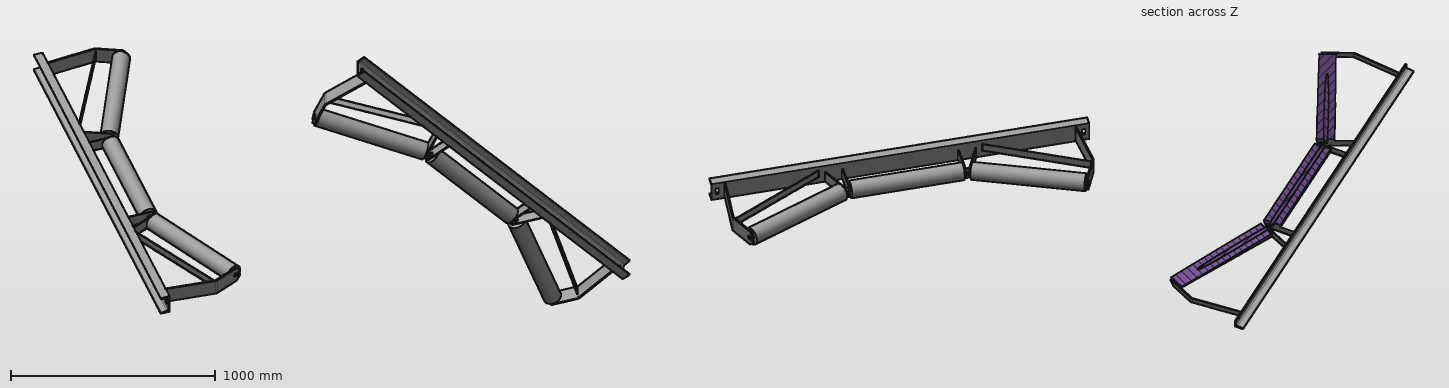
import cadquery as cq
import math

beam_length = 1900.0
beam_height = 103.0
flange_width = 45.0
web_thickness = 8.0
flange_root_thickness = 11.0
flange_tip_thickness = 8.0
root_radius = 8.0
tip_radius = 4.0

mount_slot_x = 922.0
mount_slot_width = 17.0
mount_slot_height = 36.0

roller_diameter = 90.0
roller_length = 566.0
shaft_diameter = 19.0
slot_overcut = 2.0
roller_gap = 5.0

center_roller_y = 122.0
center_roller_z = -19.0

wing_roller_x = 585.0
wing_roller_y = 249.0
wing_roller_z = -10.0
trough_angle = 25.0
wing_tilt = 2.0

outer_plate_thickness = 8.0
outer_bracket_height = 82.0
outer_foot_x = 882.0
outer_bend_drop = 130.0
outer_bend_radius = 23.0
outer_tip_rise = 30.0
outer_tip_chamfer = 23.0
inner_plate_thickness = 5.0
inner_bracket_height = 59.0
inner_bracket_z = -17.0
inner_top_y = 142.0

brace_thickness = 4.0
brace_height = 42.0
brace_center_z = 8.0
brace_foot_x = 410.0
brace_rise = 4.0

plan_cos = math.cos(math.radians(trough_angle))
plan_sin = math.sin(math.radians(trough_angle))


def strip(path, thickness, height):
    """Upright flat bar following a plan path, with mitred bends, centered on Z = 0."""
    normals = []
    for (x0, y0), (x1, y1) in zip(path, path[1:]):
        run = math.hypot(x1 - x0, y1 - y0)
        normals.append((-(y1 - y0) / run, (x1 - x0) / run))
    left_side = []
    right_side = []
    for index, (x, y) in enumerate(path):
        before = normals[max(index - 1, 0)]
        after = normals[min(index, len(normals) - 1)]
        spread = 1 + before[0] * after[0] + before[1] * after[1]
        mitre_x = (before[0] + after[0]) / spread * thickness / 2
        mitre_y = (before[1] + after[1]) / spread * thickness / 2
        left_side.append((x + mitre_x, y + mitre_y))
        right_side.append((x - mitre_x, y - mitre_y))
    outline = left_side + right_side[::-1]
    return cq.Workplane("XY").polyline(outline).close().extrude(height / 2, both=True)


def wing_point(along, across):
    """Plan point at a distance along the +X wing axis and square to it, from the roller midpoint."""
    x = wing_roller_x + along * plan_cos - across * plan_sin
    y = wing_roller_y + along * plan_sin + across * plan_cos
    return x, y


def place_on_wing(body):
    """Move a body built along X about the origin to the +X wing axis."""
    tilted = body.rotate((0, 0, 0), (0, 1, 0), -wing_tilt)
    turned = tilted.rotate((0, 0, 0), (0, 0, 1), trough_angle)
    return turned.translate((wing_roller_x, wing_roller_y, wing_roller_z))


def place_at_center(body):
    """Move a body built along X about the origin to the center axis."""
    return body.translate((0, center_roller_y, center_roller_z))


def wing_pair(body):
    """Copies of a body on the +X and -X wing axes."""
    wing = place_on_wing(body)
    return [wing, wing.mirror("YZ")]


def rod(length):
    """Round rod of shaft diameter along X, centered on the origin."""
    return cq.Workplane("YZ").circle(shaft_diameter / 2).extrude(length / 2, both=True)


def shaft_length(plate_thickness):
    """Length over the plates at both ends of a roller."""
    return roller_length + 2 * (roller_gap + plate_thickness)


def make_roller():
    """Roller with a bore for its shaft."""
    roller = cq.Workplane("YZ", origin=(-roller_length / 2, 0, 0))
    roller = roller.circle(roller_diameter / 2).extrude(roller_length)
    return roller.cut(rod(roller_length))


def make_shaft_slot():
    """Cutter for the open-topped slots that hold a shaft."""
    length = shaft_length(outer_plate_thickness) + 2 * slot_overcut
    opening = cq.Workplane("XY").box(length, roller_diameter, shaft_diameter)
    return rod(length).union(opening.translate((0, roller_diameter / 2, 0)))


def make_beam():
    """Tapered channel with a mounting slot near each end."""
    top = beam_height / 2
    root_z = top - flange_root_thickness
    tip_z = top - flange_tip_thickness
    profile = [
        (0, -top),
        (-flange_width, -top),
        (-flange_width, -tip_z),
        (-web_thickness, -root_z),
        (-web_thickness, root_z),
        (-flange_width, tip_z),
        (-flange_width, top),
        (0, top),
    ]
    beam = cq.Workplane("YZ").polyline(profile).close().extrude(beam_length / 2, both=True)
    for side in (-1, 1):
        root = cq.selectors.NearestToPointSelector((0, -web_thickness, side * root_z))
        tip = cq.selectors.NearestToPointSelector((0, -flange_width, side * tip_z))
        beam = beam.edges(root).fillet(root_radius)
        beam = beam.edges(tip).fillet(tip_radius)
    slots = (
        cq.Workplane("XZ")
        .pushPoints([(-mount_slot_x, 0), (mount_slot_x, 0)])
        .slot2D(mount_slot_height, mount_slot_width, 90)
        .extrude(flange_width)
    )
    return beam.cut(slots)


outer_plate_along = roller_length / 2 + roller_gap + outer_plate_thickness / 2
inner_plate_along = -(roller_length / 2 + roller_gap + inner_plate_thickness / 2)
outer_bend = wing_point(outer_plate_along, -outer_bend_drop)
outer_tip = wing_point(outer_plate_along, outer_tip_rise)


def make_outer_bracket():
    """Leg and roller plate in one bent bar, with the corners of its tip cut off."""
    bracket = strip([(outer_foot_x, 0), outer_bend, outer_tip], outer_plate_thickness, outer_bracket_height)
    for side in (-1, 1):
        corner = cq.selectors.NearestToPointSelector((*outer_tip, side * outer_bracket_height / 2))
        bracket = bracket.edges(corner).chamfer(outer_tip_chamfer)
    bend_x, bend_y = outer_bend
    for side, radius in ((1, outer_bend_radius), (-1, outer_bend_radius - outer_plate_thickness)):
        bend_edge = (bend_x + side * outer_plate_thickness / 2, bend_y, 0)
        bracket = bracket.edges(cq.selectors.NearestToPointSelector(bend_edge)).fillet(radius)
    return bracket


def make_inner_bracket():
    """Folded bar carrying the wing roller on one leg and the center roller on the other."""
    axis_x, axis_y = wing_point(inner_plate_along, 0)
    wing_foot = (axis_x + axis_y * plan_sin / plan_cos, 0)
    wing_top = (axis_x - (inner_top_y - axis_y) * plan_sin / plan_cos, inner_top_y)
    center_leg_x = roller_length / 2 + roller_gap + inner_plate_thickness / 2
    path = [wing_foot, wing_top, (center_leg_x, inner_top_y), (center_leg_x, 0)]
    bracket = strip(path, inner_plate_thickness, inner_bracket_height)
    return bracket.translate((0, 0, inner_bracket_z))


def make_brace():
    """Thin diagonal bar between the outer bend and the web."""
    brace_end = wing_point(outer_plate_along, brace_rise - outer_bend_drop)
    brace = strip([(brace_foot_x, 0), brace_end], brace_thickness, brace_height)
    return brace.translate((0, 0, brace_center_z))


def make_frame():
    """Welded frame: beam, brackets and braces, with a slot for every shaft end."""
    frame = make_beam()
    for part in (make_outer_bracket(), make_inner_bracket(), make_brace()):
        frame = frame.union(part).union(part.mirror("YZ"))
    slot_cutter = make_shaft_slot()
    for slot in (place_at_center(slot_cutter), *wing_pair(slot_cutter)):
        frame = frame.cut(slot)
    return frame


frame = make_frame()

roller = make_roller()
rollers = [place_at_center(roller), *wing_pair(roller)]

center_shaft = rod(shaft_length(inner_plate_thickness))
wing_shaft = rod(shaft_length(outer_plate_thickness))
shafts = [place_at_center(center_shaft), *wing_pair(wing_shaft)]

bodies = [frame, *rollers, *shafts]
result = cq.Compound.makeCompound([body.val() for body in bodies])